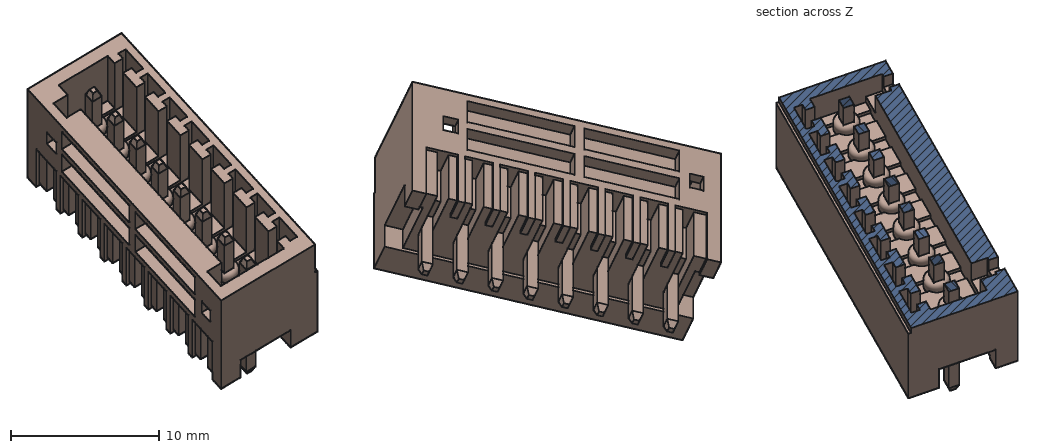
import cadquery as cq

LENGTH = 22.0
DEPTH = 8.1
HEIGHT = 10.1

STEP_DEPTH = 0.2
STEP_Z = 6.9

PIN_COUNT = 8
PIN_SPAN = 17.5
PITCH = PIN_SPAN / (PIN_COUNT - 1)
PIN_WIDTH = 0.8
PIN_Y = 3.9
PIN_BOTTOM_Z = -3.5
PIN_TOP_Z = 9.3
TIP_HEIGHT = 0.6
TIP_WIDTH = 0.4
PIN_XS = [(i - (PIN_COUNT - 1) / 2) * PITCH for i in range(PIN_COUNT)]

CAVITY_HALF_LENGTH = 10.0
CAVITY_FRONT_Y = 1.9
CAVITY_REAR_Y = 6.0
FLOOR_Z = 5.0

COLLAR_DIAMETER = 1.8
COLLAR_HEIGHT = 0.6
COLLAR_FILLET = 0.3

SLOT_FLOOR_Z = 4.69
STEM_WIDTH = 1.0
BAR_WIDTH = 2.0
BAR_FRONT_Y = 6.7
BAR_REAR_Y = 7.3

LATCH_SPANS_X = [(-9.0, -7.5), (8.5, CAVITY_HALF_LENGTH)]
LATCH_FRONT_Y = 0.7
LATCH_FLOOR_Z = 5.59
LATCH_WINDOW_SPANS_X = [(-8.8, -7.72), (8.78, 9.75)]
LATCH_WINDOW_SPAN_Z = (6.3, 7.57)

PANEL_SPANS_X = [(-7.08, 0.55), (1.25, 8.03)]
PANEL_SPANS_Z = [(4.97, 6.9), (7.55, 9.48)]
PANEL_DEPTH = 0.9

BAY_WIDTH = 2.0
BAY_DEPTH = 0.25
BAY_TOP_Z = 4.31
PIN_OPENING_TOP_Z = 1.45

UNDERSIDE_Z = 0.26
NOTCH_FRONT_Y = 1.65
NOTCH_REAR_Y = 5.83
NOTCH_TOP_Z = 1.98
NOTCH_DEPTH = 1.3


def block(span_x, span_y, span_z):
    """Box between the given limits along each axis."""
    return cq.Workplane("XY").box(
        span_x[1] - span_x[0],
        span_y[1] - span_y[0],
        span_z[1] - span_z[0],
        centered=False,
    ).translate((span_x[0], span_y[0], span_z[0]))


def centred_span(centre, width):
    return (centre - width / 2, centre + width / 2)


def make_shell():
    """Outer block with the rear step and the plug cavity."""
    half_length = LENGTH / 2
    cavity_x = (-CAVITY_HALF_LENGTH, CAVITY_HALF_LENGTH)
    shell = block((-half_length, half_length), (0, DEPTH), (0, HEIGHT))
    rear_step = block((-half_length, half_length), (DEPTH - STEP_DEPTH, DEPTH), (STEP_Z, HEIGHT))
    cavity = block(cavity_x, (CAVITY_FRONT_Y, CAVITY_REAR_Y), (FLOOR_Z, HEIGHT))
    return shell.cut(rear_step).cut(cavity)


def cut_front_face(housing):
    """Latch recesses with their windows, and the blind panels."""
    for span_x in LATCH_SPANS_X:
        housing = housing.cut(block(span_x, (LATCH_FRONT_Y, CAVITY_FRONT_Y), (LATCH_FLOOR_Z, HEIGHT)))
    for span_x in LATCH_WINDOW_SPANS_X:
        housing = housing.cut(block(span_x, (0, LATCH_FRONT_Y), LATCH_WINDOW_SPAN_Z))
    for span_x in PANEL_SPANS_X:
        for span_z in PANEL_SPANS_Z:
            housing = housing.cut(block(span_x, (0, PANEL_DEPTH), span_z))
    return housing


def cut_underside(housing):
    """Shallow recess under the body and the notches through the end walls."""
    notch_y = (NOTCH_FRONT_Y, NOTCH_REAR_Y)
    recess_x = (-CAVITY_HALF_LENGTH, CAVITY_HALF_LENGTH)
    housing = housing.cut(block(recess_x, notch_y, (0, UNDERSIDE_Z)))
    inner_x = LENGTH / 2 - NOTCH_DEPTH
    for span_x in [(-LENGTH / 2, -inner_x), (inner_x, LENGTH / 2)]:
        housing = housing.cut(block(span_x, notch_y, (0, NOTCH_TOP_Z)))
    return housing


def cut_bay(housing, index):
    """Front bay below one pin, with a slot that opens onto the pin near the bottom."""
    pin_x = PIN_XS[index]
    left, right = centred_span(pin_x, BAY_WIDTH)
    if index == 0:
        left = -CAVITY_HALF_LENGTH
    if index == PIN_COUNT - 1:
        right = CAVITY_HALF_LENGTH
    slot_x = centred_span(pin_x, PIN_WIDTH)
    housing = housing.cut(block((left, right), (0, BAY_DEPTH), (0, BAY_TOP_Z)))
    housing = housing.cut(block((left, right), (0, NOTCH_FRONT_Y), (0, UNDERSIDE_Z)))
    housing = housing.cut(block(slot_x, (0, CAVITY_FRONT_Y), (0, BAY_TOP_Z)))
    return housing.cut(block(slot_x, (0, PIN_Y), (0, PIN_OPENING_TOP_Z)))


def cut_t_slot(housing, pin_x):
    """T-slot from the front of the cavity floor into the rear wall."""
    slot_z = (SLOT_FLOOR_Z, HEIGHT)
    stem = block(centred_span(pin_x, STEM_WIDTH), (CAVITY_FRONT_Y, BAR_FRONT_Y), slot_z)
    bar = block(centred_span(pin_x, BAR_WIDTH), (BAR_FRONT_Y, BAR_REAR_Y), slot_z)
    return housing.cut(stem).cut(bar)


def make_collar(pin_x):
    """Round collar with a rounded top edge, standing in the T-slot."""
    collar_height = FLOOR_Z + COLLAR_HEIGHT - SLOT_FLOOR_Z
    collar = cq.Workplane("XY").circle(COLLAR_DIAMETER / 2).extrude(collar_height)
    return collar.faces(">Z").edges().fillet(COLLAR_FILLET).translate((pin_x, PIN_Y, SLOT_FLOOR_Z))


def pin_shank(pin_x, bottom_z, top_z):
    return block(centred_span(pin_x, PIN_WIDTH), centred_span(PIN_Y, PIN_WIDTH), (bottom_z, top_z))


def make_housing():
    housing = cut_underside(cut_front_face(make_shell()))
    for index, pin_x in enumerate(PIN_XS):
        housing = cut_bay(housing, index)
        housing = cut_t_slot(housing, pin_x)
        housing = housing.union(make_collar(pin_x))
        housing = housing.cut(pin_shank(pin_x, 0, HEIGHT))
    return housing


def make_tip(pin_x, base_z, height):
    """Square taper from the shank to the blunt end; a negative height points down."""
    return (
        cq.Workplane("XY", origin=(pin_x, PIN_Y, base_z))
        .rect(PIN_WIDTH, PIN_WIDTH)
        .workplane(offset=height)
        .rect(TIP_WIDTH, TIP_WIDTH)
        .loft(ruled=True)
    )


def make_pin(pin_x):
    """Straight square pin, tapered at both ends."""
    shank_bottom_z = PIN_BOTTOM_Z + TIP_HEIGHT
    shank_top_z = PIN_TOP_Z - TIP_HEIGHT
    shank = pin_shank(pin_x, shank_bottom_z, shank_top_z)
    upper_tip = make_tip(pin_x, shank_top_z, TIP_HEIGHT)
    lower_tip = make_tip(pin_x, shank_bottom_z, -TIP_HEIGHT)
    return shank.union(upper_tip).union(lower_tip)


housing = make_housing()
pins = [make_pin(pin_x) for pin_x in PIN_XS]

result = cq.Compound.makeCompound([body.solids().val() for body in [housing, *pins]])